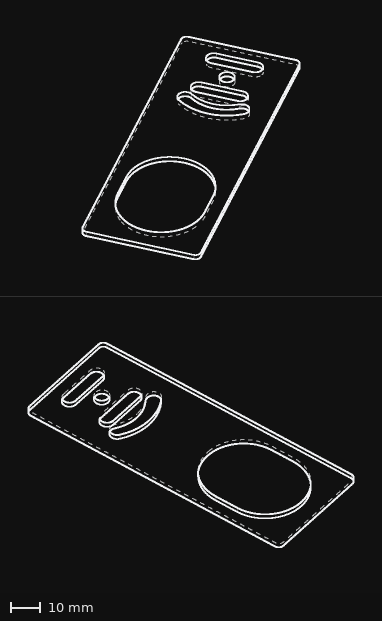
import cadquery as cq
import math

plate_width = 42.1
plate_length = 108.2
plate_thickness = 2.0
corner_radius = 2.0

hole_diameter = 5.3
hole_y = 38.1
slot_length = 20.1
slot_width = hole_diameter
slot_offset = 8.0

arc_radius = 17.5
arc_half_angle = 35.0

opening_width = 30.9
opening_length = 40.0
opening_y = -27.0


def make_plate():
    plate = cq.Workplane("XY").rect(plate_width, plate_length).extrude(plate_thickness)
    return plate.edges("|Z").fillet(corner_radius)


def slot_cutter(y, length, width, angle=0):
    return cq.Workplane("XY").center(0, y).slot2D(length, width, angle).extrude(plate_thickness)


def hole_cutter():
    return cq.Workplane("XY").center(0, hole_y).circle(hole_diameter / 2).extrude(plate_thickness)


def arc_point(radius, angle):
    """Point at a radius from the hole centre, with the angle measured from -Y toward +X."""
    turn = math.radians(angle)
    return (radius * math.sin(turn), hole_y - radius * math.cos(turn))


def cap_tip(side):
    """Outermost point of the semicircular end of the curved slot."""
    x, y = arc_point(arc_radius, side * arc_half_angle)
    turn = math.radians(arc_half_angle)
    cap_radius = slot_width / 2
    return (x + side * cap_radius * math.cos(turn), y + cap_radius * math.sin(turn))


def curved_slot_cutter():
    inner_radius = arc_radius - slot_width / 2
    outer_radius = arc_radius + slot_width / 2
    right_start = arc_point(outer_radius, arc_half_angle)
    right_end = arc_point(inner_radius, arc_half_angle)
    left_start = arc_point(inner_radius, -arc_half_angle)
    left_end = arc_point(outer_radius, -arc_half_angle)
    return (
        cq.Workplane("XY")
        .moveTo(*left_end)
        .threePointArc(arc_point(outer_radius, 0), right_start)
        .threePointArc(cap_tip(1), right_end)
        .threePointArc(arc_point(inner_radius, 0), left_start)
        .threePointArc(cap_tip(-1), left_end)
        .close()
        .extrude(plate_thickness)
    )


result = make_plate().cut(hole_cutter()).cut(curved_slot_cutter())
for side in (-1, 1):
    result = result.cut(slot_cutter(hole_y + side * slot_offset, slot_length, slot_width))
result = result.cut(slot_cutter(opening_y, opening_length, opening_width, angle=90))